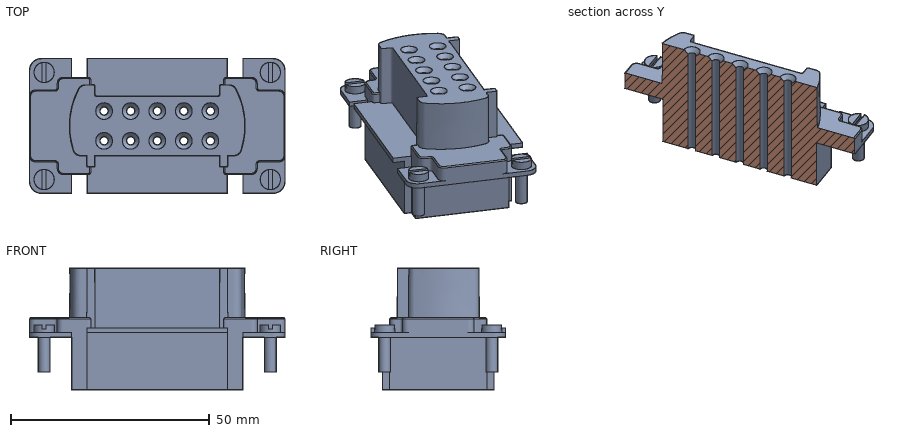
import cadquery as cq
import math

length = 64.41
width = 34.0
height = 30.7
half_length = length / 2

flange_bottom = 13.2
plate_thickness = 1.2
flange_top = flange_bottom + plate_thickness
deck_top = flange_top + plate_thickness
pad_top = 18.2

block_length = 43.1
block_end_width = 24.5
block_centre_length = 35.4
block_centre_width = 28.2

flange_corner_radius = 3.0
pad_half_width = block_end_width / 2
pad_inner_x = 16.75
pad_step_x = 25.2
pad_tongue_half_width = 9.05
pad_large_radius = 1.5
pad_small_radius = 0.6
pad_edge_chamfer = 0.3

tower_half_length = 22.2
tower_end_radius = 20.0
tower_half_width = 10.4
tower_waist_half_width = 7.55
tower_corner_radius = 2.0
tower_draft = 0.5
rib_inner_x = 15.65
rib_outer_x = 17.8
rib_corner_radius = 0.4

hole_columns = 5
hole_rows = 2
hole_pitch_x = 6.7
hole_pitch_y = 7.5
hole_diameter = 2.0
hole_mouth_diameter = 4.2
hole_mouth_angle = 90.0

screw_x = 28.5
screw_y = 13.5
screw_diameter = 3.0
screw_bottom = 4.5
head_diameter = 5.1
head_height = 2.0
head_slot_width = 1.0
head_slot_depth = 1.0


def box(x_size, y_size, z_low, z_high):
    """Box centred on the Z axis between two heights."""
    return cq.Workplane("XY").workplane(offset=z_low).rect(x_size, y_size).extrude(z_high - z_low)


def near(x, y):
    """Selector for the outline corner or upright edge at (x, y)."""
    reach = 0.1
    return cq.selectors.BoxSelector((x - reach, y - reach, 0), (x + reach, y + reach, height))


def make_block():
    """Contact block with the deck plate overhanging its centre."""
    ends = box(block_length, block_end_width, 0, flange_top)
    centre = box(block_centre_length, block_centre_width, 0, flange_top)
    deck = box(block_centre_length, width, flange_top, deck_top)
    return ends.union(centre).union(deck)


def make_flanges():
    """Two end plates with rounded outer corners."""
    plate = box(length, width, flange_bottom, flange_top)
    plate = plate.edges("|Z").fillet(flange_corner_radius)
    return plate.cut(box(block_length, width, flange_bottom, flange_top))


def make_pad():
    """Stepped pad on the -X flange with rounded corners and a chamfered top edge."""
    wide_length = pad_step_x - pad_inner_x
    tongue_length = half_length - pad_inner_x
    base = cq.Workplane("XY", origin=(-pad_inner_x, 0, flange_top))
    rise = pad_top - flange_top
    pad = base.center(-wide_length / 2, 0).rect(wide_length, 2 * pad_half_width).extrude(rise)
    tongue = base.center(-tongue_length / 2, 0).rect(tongue_length, 2 * pad_tongue_half_width).extrude(rise)
    pad = pad.union(tongue)
    corners = [
        (half_length, pad_tongue_half_width, pad_large_radius),
        (pad_step_x, pad_tongue_half_width, pad_small_radius),
        (pad_step_x, pad_half_width, pad_large_radius),
        (pad_inner_x, pad_half_width, pad_small_radius),
    ]
    for x, y, radius in corners:
        pad = pad.edges(near(-x, y) + near(-x, -y)).fillet(radius)
    return pad.faces(">Z").chamfer(pad_edge_chamfer)


def tower_end_x(y):
    """Distance of the bowed tower end from the YZ plane at the given y."""
    return tower_half_length - tower_end_radius + math.sqrt(tower_end_radius**2 - y**2)


def make_tower():
    """Drafted tower with bowed ends, a narrow waist and ribs at the front corners of the waist."""
    back_x = tower_end_x(tower_half_width)
    front_x = tower_end_x(tower_waist_half_width)
    front_y = -tower_waist_half_width
    outline = (
        cq.Workplane("XY")
        .moveTo(-rib_inner_x, tower_waist_half_width)
        .lineTo(-rib_inner_x, tower_half_width)
        .lineTo(-back_x, tower_half_width)
        .threePointArc((-tower_half_length, 0), (-front_x, front_y))
        .lineTo(-rib_outer_x, front_y)
        .lineTo(-rib_outer_x, -tower_half_width)
        .lineTo(-rib_inner_x, -tower_half_width)
        .lineTo(-rib_inner_x, front_y)
        .lineTo(rib_inner_x, front_y)
        .lineTo(rib_inner_x, -tower_half_width)
        .lineTo(rib_outer_x, -tower_half_width)
        .lineTo(rib_outer_x, front_y)
        .lineTo(front_x, front_y)
        .threePointArc((tower_half_length, 0), (back_x, tower_half_width))
        .lineTo(rib_inner_x, tower_half_width)
        .lineTo(rib_inner_x, tower_waist_half_width)
        .close()
    )
    corners = [
        (back_x, tower_half_width, tower_corner_radius),
        (front_x, front_y, tower_corner_radius),
        (rib_inner_x, tower_half_width, rib_corner_radius),
        (rib_inner_x, tower_waist_half_width, rib_corner_radius),
        (rib_outer_x, -tower_half_width, rib_corner_radius),
        (rib_inner_x, -tower_half_width, rib_corner_radius),
    ]
    prism = outline.extrude(height - deck_top)
    for x, y, radius in corners:
        prism = prism.edges(near(-x, y) + near(x, y)).fillet(radius)
    rounded_outline = prism.faces("<Z").wires().val().moved(cq.Location(cq.Vector(0, 0, deck_top)))
    return cq.Workplane("XY").add(rounded_outline).toPending().extrude(height - deck_top, taper=tower_draft)


def make_screw():
    """Slotted screw on the Z axis, its head resting on the flange."""
    shank = cq.Workplane("XY").workplane(offset=screw_bottom)
    shank = shank.circle(screw_diameter / 2).extrude(flange_top - screw_bottom)
    head = cq.Workplane("XY").workplane(offset=flange_top).circle(head_diameter / 2).extrude(head_height)
    head_top = flange_top + head_height
    slot = box(head_slot_width, head_diameter, head_top - head_slot_depth, head_top)
    return shank.union(head.cut(slot))


def drill_contacts(body):
    """Countersunk contact holes through the full height."""
    return (
        body.faces(">Z")
        .workplane(origin=(0, 0, height))
        .rarray(hole_pitch_x, hole_pitch_y, hole_columns, hole_rows)
        .cskHole(hole_diameter, hole_mouth_diameter, hole_mouth_angle)
    )


pad = make_pad()
body = make_block().union(make_flanges())
body = body.union(pad).union(pad.mirror("YZ"))
body = body.union(make_tower())
for side_x in (-1, 1):
    for side_y in (-1, 1):
        body = body.union(make_screw().translate((side_x * screw_x, side_y * screw_y, 0)))

result = drill_contacts(body)